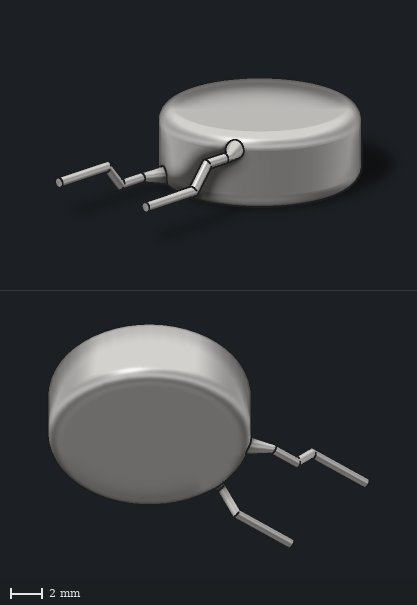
import cadquery as cq
import math

DISC_DIAMETER = 13.0
DISC_HEIGHT = 5.0
EDGE_RADIUS = 1.0
disc_radius = DISC_DIAMETER / 2

TOTAL_LENGTH = 21.3
LEAD_PITCH = 7.5
LEAD_DIAMETER = 0.68
CRANK_START_Y = -9.03
CRANK_END_Y = -10.3
lead_radius = LEAD_DIAMETER / 2
lead_x = LEAD_PITCH / 2
lead_z = DISC_HEIGHT / 2 - EDGE_RADIUS
lead_tip_y = disc_radius - TOTAL_LENGTH

ELBOW_Y = -7.07
ELBOW_ANGLE = 28.0
ELBOW_INNER_RADIUS = 0.02
CONE_HALF_ANGLE = 10.5
CONE_LENGTH = 1.92
UPPER_STUB_LENGTH = 0.32
LOWER_STUB_LENGTH = 0.0


def make_housing():
    """Solid disc with both rims rounded."""
    disc = cq.Workplane("XY").circle(disc_radius).extrude(DISC_HEIGHT)
    disc = disc.translate((0, 0, -DISC_HEIGHT / 2))
    return disc.edges("%CIRCLE").fillet(EDGE_RADIUS)


def make_lead(stub_length):
    """Wire at the upper right, from the sleeve end to the tip, with mitred bends."""
    start_y = ELBOW_Y - stub_length
    path = cq.Workplane("YZ", origin=(lead_x, 0, 0)).polyline([
        (start_y, lead_z),
        (CRANK_START_Y, lead_z),
        (CRANK_END_Y, 0),
        (lead_tip_y, 0),
    ])
    section = cq.Workplane("XZ", origin=(lead_x, start_y, lead_z)).circle(lead_radius)
    return section.sweep(path, transition="right")


def make_sleeve(stub_length, housing):
    """Sleeve at the upper right: optional stub, elbow and cone, trimmed by the disc."""
    bend_radius = lead_radius + ELBOW_INNER_RADIUS
    lead_section = cq.Workplane("XZ", origin=(lead_x, ELBOW_Y, lead_z)).circle(lead_radius)
    sleeve = lead_section.revolve(ELBOW_ANGLE, (-bend_radius, 0), (-bend_radius, 1))

    angle = math.radians(ELBOW_ANGLE)
    cone_start = cq.Vector(
        lead_x - bend_radius * (1 - math.cos(angle)),
        ELBOW_Y + bend_radius * math.sin(angle),
        lead_z,
    )
    cone_direction = cq.Vector(-math.sin(angle), math.cos(angle), 0)
    base_radius = lead_radius + CONE_LENGTH * math.tan(math.radians(CONE_HALF_ANGLE))
    cone = cq.Solid.makeCone(lead_radius, base_radius, CONE_LENGTH, cone_start, cone_direction)
    sleeve = sleeve.union(cq.Workplane(cone))

    if stub_length > 0:
        stub_section = cq.Workplane("XZ", origin=(lead_x, ELBOW_Y, lead_z)).circle(lead_radius)
        sleeve = sleeve.union(stub_section.extrude(stub_length))
    return sleeve.cut(housing)


housing = make_housing()

leads = []
sleeves = []
for stub_length, turn in [(UPPER_STUB_LENGTH, 0), (LOWER_STUB_LENGTH, 180)]:
    lead = make_lead(stub_length).rotate((0, 0, 0), (0, 1, 0), turn)
    sleeve = make_sleeve(stub_length, housing).rotate((0, 0, 0), (0, 1, 0), turn)
    leads.append(lead.val())
    sleeves.append(sleeve.solids().val())

result = cq.Compound.makeCompound([housing.val(), *leads, *sleeves])